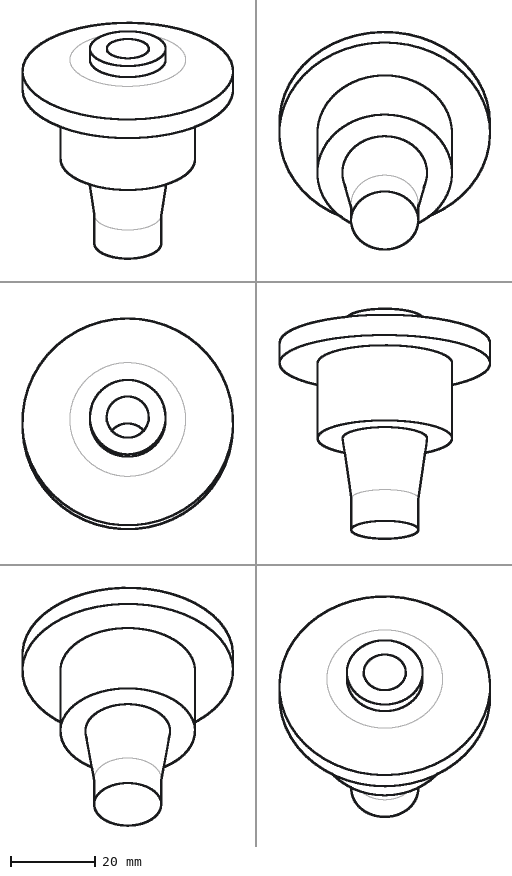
import cadquery as cq

total_height = 52.0
spigot_height = 7.7
taper_height = 14.8
body_height = 18.5
rim_height = 5.0
boss_height = 2.95
cone_height = total_height - spigot_height - taper_height - body_height - rim_height - boss_height

spigot_diameter = 15.95
taper_top_diameter = 20.1
body_diameter = 32.0
flange_diameter = 50.0
cone_top_diameter = 27.5
boss_diameter = 18.0
bore_diameter = 10.0

bore_depth = 34.0

taper_bottom = spigot_height
body_bottom = taper_bottom + taper_height
flange_bottom = body_bottom + body_height
rim_top = flange_bottom + rim_height
cone_top = rim_top + cone_height

outline = (
    cq.Workplane("XZ")
    .moveTo(0, 0)
    .lineTo(spigot_diameter / 2, 0)
    .lineTo(spigot_diameter / 2, taper_bottom)
    .lineTo(taper_top_diameter / 2, body_bottom)
    .lineTo(body_diameter / 2, body_bottom)
    .lineTo(body_diameter / 2, flange_bottom)
    .lineTo(flange_diameter / 2, flange_bottom)
    .lineTo(flange_diameter / 2, rim_top)
    .lineTo(cone_top_diameter / 2, cone_top)
    .lineTo(boss_diameter / 2, cone_top)
    .lineTo(boss_diameter / 2, total_height)
    .lineTo(0, total_height)
    .close()
)
solid_body = outline.revolve(360, (0, 0, 0), (0, 1, 0))

bore = (
    cq.Workplane("XY")
    .workplane(offset=total_height - bore_depth)
    .circle(bore_diameter / 2)
    .extrude(bore_depth)
)
result = solid_body.cut(bore)